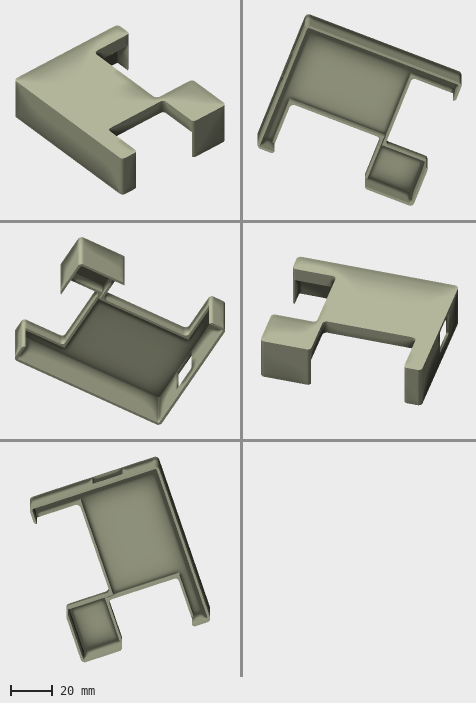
import cadquery as cq

length = 80.0
width = 65.0
height = 22.0
wall = 1.2
corner_radius = 2.0
cavity_radius = corner_radius - wall

back_notch_left = 8.9
back_notch_width = 46.1
back_notch_depth = 22.5
back_notch_radius = 2.2
side_notch_front = 9.5
side_notch_width = 34.9
side_notch_depth = 22.0
side_notch_radius = 1.8
mouth_radius = 1.8
skirt_height = 7.0

window_front = 17.9
window_width = 14.9
window_height = 13.1
window_top_gap = 2.1
window_radius = 1.0


def block(x, y, z, dx, dy, dz):
    """Box with its lowest corner at (x, y, z)."""
    return cq.Workplane("XY").box(dx, dy, dz, centered=False).translate((x, y, z))


def back_notch(margin=0.0):
    """Back notch volume, grown by margin and running out past the back face."""
    return block(
        back_notch_left - margin,
        width - back_notch_depth - margin,
        0,
        back_notch_width + 2 * margin,
        back_notch_depth + 2 * margin,
        height,
    )


def side_notch(margin=0.0):
    """Side notch volume, grown by margin and running out past the +X face."""
    return block(
        length - side_notch_depth - margin,
        side_notch_front - margin,
        0,
        side_notch_depth + 2 * margin,
        side_notch_width + 2 * margin,
        height,
    )


def round_corners(solid, points, radius):
    """Round the vertical edges standing at the given plan points."""
    reach = 0.1
    for x, y in points:
        near = cq.selectors.BoxSelector(
            (x - reach, y - reach, 0), (x + reach, y + reach, height)
        )
        solid = solid.edges("|Z").edges(near).fillet(radius)
    return solid


def outer_body():
    """Solid plan outline with both notches and all rounded corners."""
    back_right = back_notch_left + back_notch_width
    back_floor = width - back_notch_depth
    side_floor = length - side_notch_depth
    side_back = side_notch_front + side_notch_width
    body = block(0, 0, 0, length, width, height).edges("|Z").fillet(corner_radius)
    body = body.cut(back_notch()).cut(side_notch())
    back_corners = [(back_notch_left, back_floor), (back_right, back_floor)]
    side_corners = [(side_floor, side_notch_front), (side_floor, side_back)]
    mouth_corners = [
        (back_notch_left, width),
        (back_right, width),
        (length, side_notch_front),
        (length, side_back),
    ]
    body = round_corners(body, back_corners, back_notch_radius)
    body = round_corners(body, side_corners, side_notch_radius)
    return round_corners(body, mouth_corners, mouth_radius)


def cavity():
    """Hollow interior, leaving the top plate, outer walls and notch skirts."""
    inner_length = length - 2 * wall
    inner_width = width - 2 * wall
    open_height = height - skirt_height
    upper = block(wall, wall, 0, inner_length, inner_width, height - wall)
    upper = upper.edges("|Z").fillet(cavity_radius)
    upper = upper.cut(back_notch(wall)).cut(side_notch(wall))
    lower = block(wall, wall, 0, inner_length, inner_width, open_height)
    lower = lower.edges("|Z").fillet(cavity_radius)
    return upper.union(lower)


def window():
    """Rounded rectangular opening through the -X wall."""
    bottom = height - window_top_gap - window_height
    opening = block(-wall, window_front, bottom, 3 * wall, window_width, window_height)
    return opening.edges("|X").fillet(window_radius)


result = outer_body().cut(cavity()).cut(window())